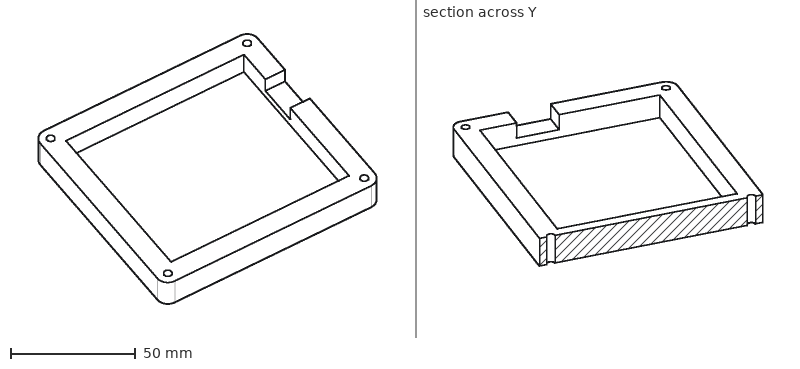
import cadquery as cq

width = 96.2
length = 103.8
height = 13.0
corner_radius = 5.0

pocket_width = 77.4
pocket_length = 85.0
pocket_depth = 10.5

notch_left_offset = 25.2
notch_width = 18.3
notch_depth = 7.0

hole_diameter = 3.4
hole_spacing_x = width - 2 * corner_radius
hole_spacing_y = length - 2 * corner_radius


def make_body():
    """Block with rounded vertical edges, standing on Z = 0."""
    block = cq.Workplane("XY").box(width, length, height, centered=(True, True, False))
    return block.edges("|Z").fillet(corner_radius)


def cut_pocket(body):
    """Sink the rectangular pocket from the top face."""
    return body.faces(">Z").workplane().rect(pocket_width, pocket_length).cutBlind(-pocket_depth)


def cut_notch(body):
    """Open the +Y wall from the pocket to the outside."""
    wall = (length - pocket_length) / 2
    notch = (
        cq.Workplane("XY")
        .box(notch_width, wall, notch_depth, centered=False)
        .translate((notch_left_offset - width / 2, pocket_length / 2, height - notch_depth))
    )
    return body.cut(notch)


def drill_screw_holes(body):
    """Drill one through hole at each corner."""
    return (
        body.faces("<Z")
        .workplane(centerOption="CenterOfBoundBox")
        .rect(hole_spacing_x, hole_spacing_y, forConstruction=True)
        .vertices()
        .hole(hole_diameter)
    )


result = drill_screw_holes(cut_notch(cut_pocket(make_body())))